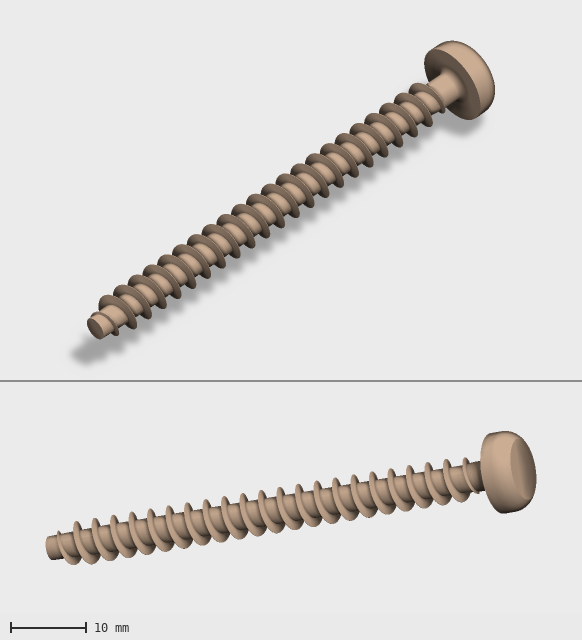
import cadquery as cq
import math


head_diameter = 10.8
head_radius = head_diameter / 2
head_height = 3.79
head_rim_height = 1.7
head_top_radius = 4.1
dome_arc_radius = 2.5

length = 65.0
shank_radius = 2.0
shank_length = 2.95
head_fillet = 0.8
core_radius = 1.82
core_start = 5.0
tip_radius = 1.6
tip_taper_length = 8.0

pitch = 2.69
thread_radius = 3.0
thread_root_radius = 1.5
crest_width = 0.06
flank_angle = math.radians(30)
top_crest_depth = 4.43

thread_start = 2.95
thread_full_start = 4.8
thread_full_end = 61.4
thread_end = 64.7
start_size = 0.53
end_size = 0.06
points_per_section = 24


def make_head_and_core():
    """Revolve the domed head, the filleted shank and the tapered core as one profile."""
    fillet_centre_radius = shank_radius + head_fillet
    fillet_offset = head_fillet * math.sqrt(0.5)
    fillet_middle = (fillet_centre_radius - fillet_offset, fillet_offset - head_fillet)
    return (
        cq.Workplane("XZ")
        .moveTo(0, head_height)
        .lineTo(head_top_radius, head_height)
        .radiusArc((head_radius, head_rim_height), dome_arc_radius)
        .lineTo(head_radius, 0)
        .lineTo(fillet_centre_radius, 0)
        .threePointArc(fillet_middle, (shank_radius, -head_fillet))
        .lineTo(shank_radius, -shank_length)
        .lineTo(core_radius, -core_start)
        .lineTo(core_radius, tip_taper_length - length)
        .lineTo(tip_radius, -length)
        .lineTo(0, -length)
        .close()
        .revolve(360, (0, 0), (0, 1))
    )


def tooth_corners():
    """Corners of the full tooth as (radius, axial offset), in order around its section."""
    half_crest = crest_width / 2
    half_root = half_crest + (thread_radius - thread_root_radius) * math.tan(flank_angle / 2)
    return [
        (thread_radius, half_crest),
        (thread_root_radius, half_root),
        (thread_root_radius, -half_root),
        (thread_radius, -half_crest),
    ]


def tooth_point(corner, depth, size):
    """Place a tooth corner on the right-hand helix, with the tooth scaled about its root."""
    radius, offset = corner
    scaled_radius = thread_root_radius + (radius - thread_root_radius) * size
    angle = -math.pi / 2 - 2 * math.pi * (depth - top_crest_depth) / pitch
    return cq.Vector(
        scaled_radius * math.cos(angle),
        scaled_radius * math.sin(angle),
        offset * size - depth,
    )


def tooth_end(depth, size):
    """Flat face that closes the thread at one end."""
    points = [tooth_point(corner, depth, size) for corner in tooth_corners()]
    return cq.Face.makeFromWires(cq.Wire.makePolygon(points, close=True))


def thread_section(depth_from, depth_to, size_from, size_to):
    """Ruled side faces of one stretch of thread whose size changes evenly along it."""

    def corner_edge(corner):
        def point_at(t):
            depth = depth_from + (depth_to - depth_from) * t
            size = size_from + (size_to - size_from) * t
            return tooth_point(corner, depth, size).toTuple()

        return cq.Workplane().parametricCurve(point_at, N=points_per_section, makeWire=False).val()

    edges = [corner_edge(corner) for corner in tooth_corners()]
    return [cq.Face.makeRuledSurface(edges[i - 1], edges[i]) for i in range(len(edges))]


def make_thread():
    """Join the fading and full-size stretches of thread into one closed solid."""
    full_turns = math.ceil((thread_full_end - thread_full_start) / pitch)
    turn_length = (thread_full_end - thread_full_start) / full_turns
    faces = [tooth_end(thread_start, start_size), tooth_end(thread_end, end_size)]
    faces += thread_section(thread_start, thread_full_start, start_size, 1)
    for turn in range(full_turns):
        depth = thread_full_start + turn * turn_length
        faces += thread_section(depth, depth + turn_length, 1, 1)
    faces += thread_section(thread_full_end, thread_end, 1, end_size)
    return cq.Workplane(cq.Solid.makeSolid(cq.Shell.makeShell(faces)))


screw = make_head_and_core().union(make_thread())
result = screw.rotate((0, 0, 0), (1, 0, 0), -90)